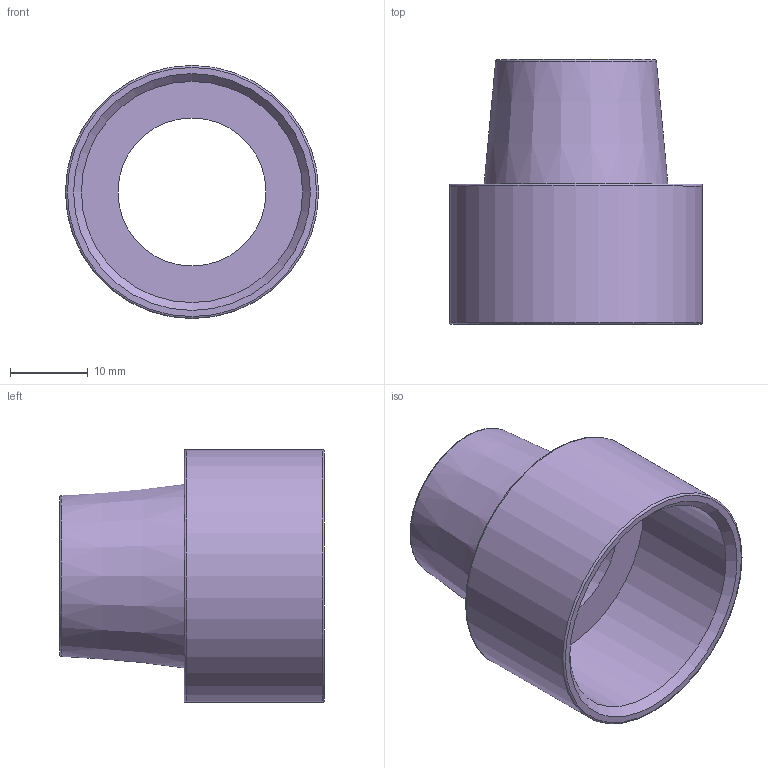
import cadquery as cq

total_length = 34.0
socket_length = 18.0
socket_depth = 16.0

socket_outer_diameter = 32.5
socket_bore_diameter = 28.4
through_bore_diameter = 19.0
neck_base_diameter = 23.6
neck_tip_diameter = 20.6

mouth_chamfer = 1.0
edge_round = 0.25


def tapered_neck():
    """Outer cone of the neck, from the socket shoulder to the far end."""
    neck_length = total_length - socket_length
    shoulder = cq.Workplane("XZ", origin=(0, socket_length, 0)).circle(neck_base_diameter / 2)
    return shoulder.workplane(offset=-neck_length).circle(neck_tip_diameter / 2).loft()


def cylinder_along_y(diameter, length):
    """Cylinder on the Y axis, running from the mouth plane towards +Y."""
    return cq.Workplane("XZ").circle(diameter / 2).extrude(-length)


socket_body = cylinder_along_y(socket_outer_diameter, socket_length).edges("%CIRCLE").fillet(edge_round)
neck_body = tapered_neck().faces(">Y").edges().fillet(edge_round)
body = socket_body.union(neck_body)

body = body.cut(cylinder_along_y(socket_bore_diameter, socket_depth))
body = body.cut(cylinder_along_y(through_bore_diameter, total_length))

mouth_edge = cq.selectors.RadiusNthSelector(0)
result = body.faces("<Y").edges(mouth_edge).chamfer(mouth_chamfer)